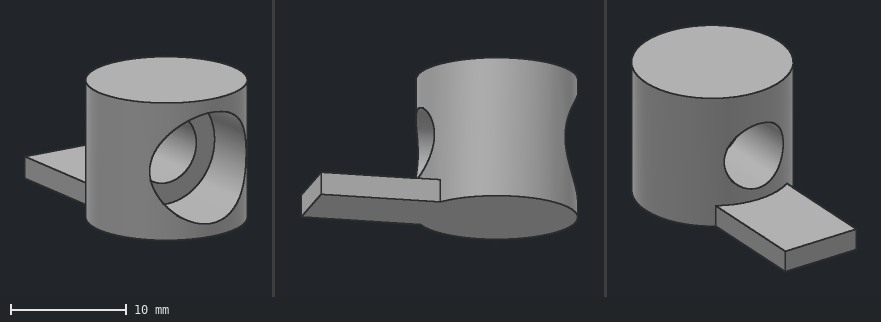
import cadquery as cq

overall_length = 23.5
body_diameter = 14.0
body_height = 12.4
tab_width = 7.5
tab_thickness = 2.0
hole_diameter = 6.2
counterbore_diameter = 10.0

body_radius = body_diameter / 2
tab_reach = overall_length - body_radius
hole_height = body_height / 2


def bore_along_x(diameter, start_x, length):
    """Cylinder along +X, centred on the cross hole's axis."""
    return (
        cq.Workplane("YZ", origin=(start_x, 0, hole_height))
        .circle(diameter / 2)
        .extrude(length)
    )


body = cq.Workplane("XY").circle(body_radius).extrude(body_height)

tab = cq.Workplane("XY").box(
    tab_reach, tab_width, tab_thickness, centered=(False, True, False)
).translate((-tab_reach, 0, 0))

hole = bore_along_x(hole_diameter, -body_radius, body_diameter)
counterbore = bore_along_x(counterbore_diameter, 0, body_radius)

result = body.union(tab).cut(hole).cut(counterbore)